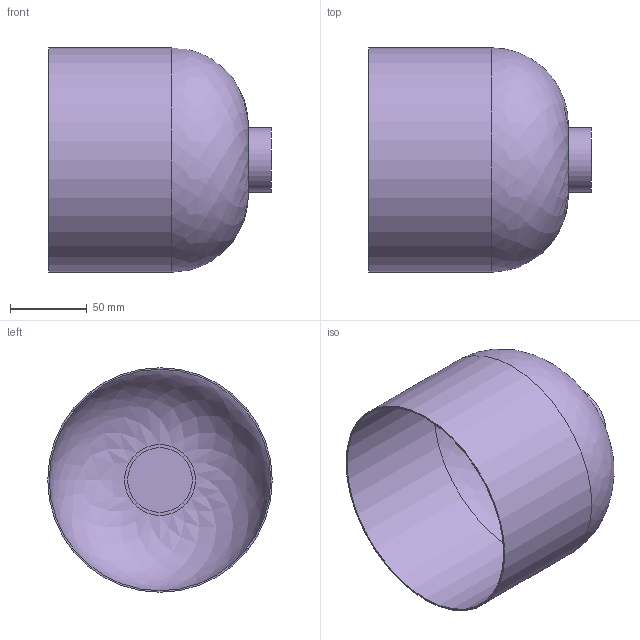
import cadquery as cq

outer_radius = 73.0
wall = 1.0
skirt_length = 80.0
dome_radius = 50.0
boss_radius = 21.0
boss_height = 15.0

dome_end = skirt_length + dome_radius
inner_crown = dome_end - wall


def domed_body(radius, corner_radius):
    """Solid cylinder from the open rim, with a rounded corner up to a flat crown."""
    length = skirt_length + corner_radius
    return (
        cq.Workplane("YZ")
        .circle(radius)
        .extrude(length)
        .faces(">X")
        .edges()
        .fillet(corner_radius)
    )


def shell():
    """Thin cup of even wall thickness, open at X = 0."""
    cavity = domed_body(outer_radius - wall, dome_radius - wall)
    return domed_body(outer_radius, dome_radius).cut(cavity)


def boss():
    """Solid round boss set through the crown, flush with its inner face."""
    return (
        cq.Workplane("YZ", origin=(inner_crown, 0, 0))
        .circle(boss_radius)
        .extrude(wall + boss_height)
    )


result = shell().union(boss(), clean=False)